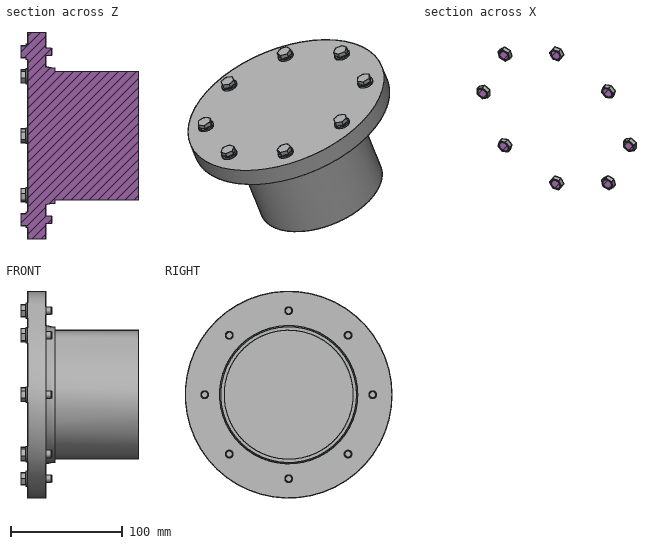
import cadquery as cq

overall_length = 106.0

flange_diameter = 186.0
flange_thickness = 16.4

hub_base_diameter = 124.4
collar_diameter = 122.0
pipe_diameter = 116.0
hub_length = 5.4
collar_length = 2.9

bolt_count = 8
bolt_circle_diameter = 151.0
washer_diameter = 14.0
washer_thickness = 1.6
head_across_flats = 11.0
head_height = 4.3
neck_diameter = 9.4
neck_length = 0.3
shank_diameter = 7.0
shank_projection = 5.4
shank_chamfer_length = 1.0
shank_chamfer_depth = 0.7

hub_end = flange_thickness + hub_length
collar_end = hub_end + collar_length
pipe_end = overall_length - washer_thickness - neck_length - head_height
shank_end = flange_thickness + shank_projection
hexagon_side_count = 6


def make_body():
    """Revolve the flange, tapered hub, collar and pipe about the X axis."""
    return (
        cq.Workplane("XY")
        .moveTo(0, 0)
        .lineTo(0, flange_diameter / 2)
        .lineTo(flange_thickness, flange_diameter / 2)
        .lineTo(flange_thickness, hub_base_diameter / 2)
        .lineTo(hub_end, collar_diameter / 2)
        .lineTo(collar_end, collar_diameter / 2)
        .lineTo(collar_end, pipe_diameter / 2)
        .lineTo(pipe_end, pipe_diameter / 2)
        .lineTo(pipe_end, 0)
        .close()
        .revolve(360, (0, 0, 0), (1, 0, 0))
    )


def make_bolt():
    """Build a bolt along the X axis, with two head flats square to Y."""
    washer = cq.Workplane("YZ").circle(washer_diameter / 2).extrude(-washer_thickness)
    neck = (
        cq.Workplane("YZ", origin=(-washer_thickness, 0, 0))
        .circle(neck_diameter / 2)
        .extrude(-neck_length)
    )
    head = (
        cq.Workplane("YZ", origin=(-washer_thickness - neck_length, 0, 0))
        .polygon(hexagon_side_count, head_across_flats, circumscribed=True)
        .extrude(-head_height)
    )
    shank = (
        cq.Workplane("YZ")
        .circle(shank_diameter / 2)
        .extrude(shank_end)
        .faces(">X")
        .chamfer(shank_chamfer_length, shank_chamfer_depth)
    )
    return shank.union(washer).union(neck).union(head)


result = make_body()
first_bolt = make_bolt().translate((0, bolt_circle_diameter / 2, 0))
for index in range(bolt_count):
    angle = index * 360 / bolt_count
    result = result.union(first_bolt.rotate((0, 0, 0), (1, 0, 0), angle))